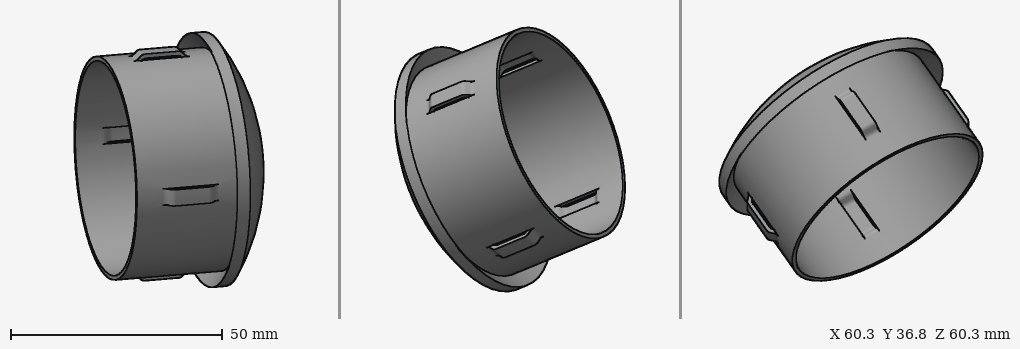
import cadquery as cq
import math


cap_diameter = 60.3
total_length = 36.8
dome_rise = 10.0
rim_height = 3.2

sleeve_diameter = 53.0
wall = 1.0

clip_width = 4.0
clip_length = 13.55
clip_lift = 1.5
clip_center = 13.2
bend_radius = 1.4
bend_angle = math.radians(45)

cap_radius = cap_diameter / 2
sleeve_radius = sleeve_diameter / 2
bore_radius = sleeve_radius - wall
rim_top = total_length - dome_rise
rim_bottom = rim_top - rim_height
dome_radius = (cap_radius**2 + dome_rise**2) / (2 * dome_rise)


def dome_midpoint(edge_y):
    """Point halfway along the dome arc whose outer edge lies at edge_y."""
    half_angle = math.asin(cap_radius / dome_radius) / 2
    center_y = edge_y + dome_rise - dome_radius
    return (dome_radius * math.sin(half_angle), center_y + dome_radius * math.cos(half_angle))


def revolve_about_y(profile):
    return profile.close().revolve(360, (0, 0, 0), (0, 1, 0))


def make_cover():
    profile = (
        cq.Workplane("XY")
        .moveTo(0, rim_bottom + dome_rise)
        .threePointArc(dome_midpoint(rim_bottom), (cap_radius, rim_bottom))
        .lineTo(cap_radius, rim_top)
        .threePointArc(dome_midpoint(rim_top), (0, total_length))
    )
    return revolve_about_y(profile)


def make_bore():
    return cq.Workplane("XZ").circle(bore_radius).extrude(-total_length)


def make_sleeve():
    """Tube that runs from the open end up to the hollow underside of the cover."""
    tube = cq.Workplane("XZ").circle(sleeve_radius).extrude(-total_length).cut(make_bore())
    space_below_cover = (
        cq.Workplane("XY")
        .lineTo(cap_radius, 0)
        .lineTo(cap_radius, rim_bottom)
        .threePointArc(dome_midpoint(rim_bottom), (0, rim_bottom + dome_rise))
    )
    return tube.intersect(revolve_about_y(space_below_cover))


def arc_point(center, angle):
    """Point on a bend arc, with the angle measured from the radial direction towards +Y."""
    return (center[0] + bend_radius * math.cos(angle), center[1] + bend_radius * math.sin(angle))


def add_bend(profile, center, start, end):
    """Run straight to the start of a bend, then follow its arc."""
    middle = arc_point(center, (start + end) / 2)
    return profile.lineTo(*arc_point(center, start)).threePointArc(middle, arc_point(center, end))


def make_clip_body(base_radius, half_length):
    """Solid of revolution whose outer surface follows one face of the bent strip."""
    crest_radius = base_radius + clip_lift
    bends_lift = 2 * bend_radius * (1 - math.cos(bend_angle))
    bends_length = 2 * bend_radius * math.sin(bend_angle)
    ramp_length = bends_length + (clip_lift - bends_lift) / math.tan(bend_angle)

    base_center_x = base_radius + bend_radius
    crest_center_x = crest_radius - bend_radius
    lower_base = (base_center_x, clip_center - half_length)
    upper_base = (base_center_x, clip_center + half_length)
    lower_crest = (crest_center_x, clip_center - half_length + ramp_length)
    upper_crest = (crest_center_x, clip_center + half_length - ramp_length)

    inward = math.pi
    profile = cq.Workplane("XY").moveTo(0, lower_base[1])
    profile = add_bend(profile, lower_base, inward, inward - bend_angle)
    profile = add_bend(profile, lower_crest, -bend_angle, 0)
    profile = add_bend(profile, upper_crest, 0, bend_angle)
    profile = add_bend(profile, upper_base, inward + bend_angle, inward)
    profile = profile.lineTo(0, upper_base[1])
    return revolve_about_y(profile)


def make_clip_band():
    """Full ring with the cross-section of a clip; the clips are cut from it."""
    outer_half_length = clip_length / 2
    inner_half_length = outer_half_length - wall * math.tan(bend_angle / 2)
    outer_body = make_clip_body(sleeve_radius, outer_half_length)
    inner_body = make_clip_body(bore_radius, inner_half_length)
    return outer_body.cut(inner_body).cut(make_bore())


def make_clip_zone():
    """Two crossed bars that mark the four clip places on the sleeve."""
    bar_along_x = cq.Workplane("XY").box(cap_diameter, clip_length, clip_width)
    bar_along_z = cq.Workplane("XY").box(clip_width, clip_length, cap_diameter)
    return bar_along_x.union(bar_along_z).translate((0, clip_center, 0))


clip_zone = make_clip_zone()
clips = make_clip_band().intersect(clip_zone)
slotted_sleeve = make_sleeve().cut(clip_zone)
result = make_cover().union(slotted_sleeve).union(clips)